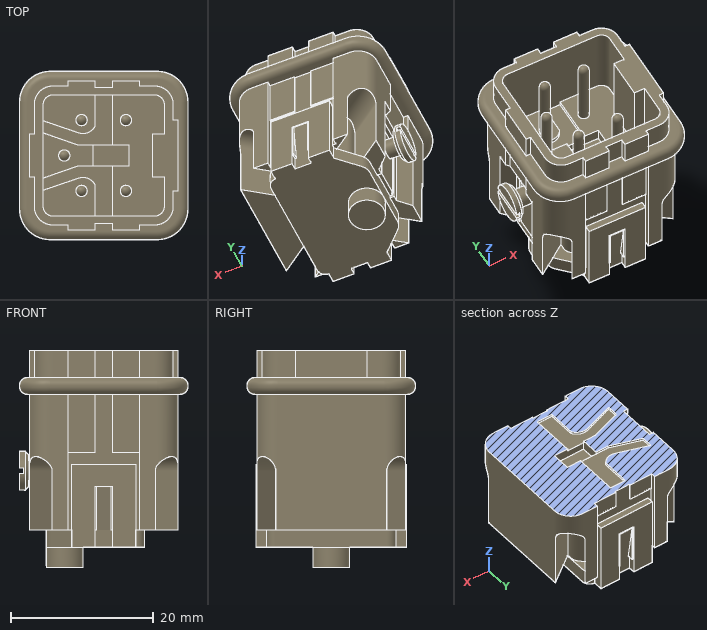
import cadquery as cq

height = 30.5
plate_bottom = 2.85
body_bottom = 5.25
floor_z = 19.15
ring_bottom = 24.3
ring_top = 26.72

ring_side = 23.7
ring_corner = 4.35
ring_round = 1.13

body_side = 20.92
body_corner = 2.87
shell_side = 19.52
shell_corner = 2.6
cavity_side = 17.02
cavity_corner = 1.37
body_half = body_side / 2
shell_half = shell_side / 2
cavity_half = cavity_side / 2

recess_half = 5.03
recess_floor = 9.58
channel_half = 1.25
step_z = 16.15
panel_half = 4.5
panel_face = 10.58
panel_top = 14.45
panel_slot_top = 11.4
panel_slot_depth = 0.12
ramp_half = 1.05
ramp_top = 11.22
ramp_depth = panel_face - recess_floor

left_tab_half = 3.0
right_tab_half = 5.0
inner_tab_half = 3.0
inner_tab_depth = 1.65

window_half = 4.73
window_top = 18.12
window_depth = 1.75
window_head_depth = 1.22
groove_half = 2.17
clamp_half = 1.85
clamp_bottom = 5.67
clamp_frame_x = -8.45
clamp_face_x = -8.65

screw_z = 13.6
screw_head_diameter = 5.5
screw_shaft_diameter = 2.75
screw_rim = 0.82
screw_cone = 0.52
screw_slot_width = 0.73
screw_slot_depth = 0.55

plate_left = -8.08
plate_right = 5.73
plate_half = 9.12
plate_chamfer = 3.63
plate_blend = 2.07
plate_right_round = 1.28
core_half_x = 5.6
core_half_y = 8.85
core_chamfer = 3.15
core_blend = 1.6
stub_diameter = 5.2
stub_x = plate_left + stub_diameter / 2

pin_diameter = 1.6
pin_tip = 29.83
pin_x = 3.1
pin_y = 4.97
ground_pin_x = -5.55

access_width = 4.03
access_top_axis = 13.57
access_angle = 36.0
access_length = 12.2

relief_depth = 0.6
relief_half = 1.25
island_side_y = 4.05
island_tip = (-1.98, 3.32)
island_tip_end = (-3.5, 3.17)
island_wall_y = 4.88
wedge_wall_y = 3.17
wedge_end_x = -3.6
key_hole_left = -1.5
key_hole_right = 3.55
key_hole_half = 1.45
key_hole_depth = 1.83


def block(x0, x1, y0, y1, z0, z1):
    """Box between two opposite corners."""
    return cq.Workplane("XY").box(x1 - x0, y1 - y0, z1 - z0, centered=False).translate((x0, y0, z0))


def rounded_square(side, corner, z0, z1):
    """Centred square prism with rounded vertical edges."""
    prism = cq.Workplane("XY").workplane(offset=z0).rect(side, side).extrude(z1 - z0)
    return prism.edges("|Z").fillet(corner)


def both_y_sides(shape):
    return shape.union(shape.mirror("XZ"))


def sealing_ring():
    ring = rounded_square(ring_side, ring_corner, ring_bottom, ring_top)
    return ring.faces("<Z or >Z").edges().fillet(ring_round)


def side_recess():
    """Stepped recess in the -Y side: deep below and along the middle, shallow beside it."""
    shallow = block(-recess_half, recess_half, -ring_side, -shell_half, body_bottom, ring_bottom)
    deep = block(-recess_half, recess_half, -ring_side, -recess_floor, body_bottom, step_z)
    middle = block(-channel_half, channel_half, -ring_side, -recess_floor, body_bottom, ring_bottom)
    return shallow.union(deep).union(middle)


def latch_panel():
    """Raised -Y panel with a slot whose floor slopes inward towards the bottom."""
    panel = block(-panel_half, panel_half, -panel_face, -plate_half, plate_bottom, panel_top)
    slot_floor = -panel_face + panel_slot_depth
    ramp_floor = -panel_face + ramp_depth
    slot = block(-channel_half, channel_half, -panel_face, slot_floor, plate_bottom, panel_slot_top)
    foot = block(-channel_half, channel_half, -panel_face, ramp_floor, plate_bottom, body_bottom)
    ramp = (
        cq.Workplane("YZ")
        .polyline([
            (-panel_face, body_bottom),
            (ramp_floor, body_bottom),
            (slot_floor, ramp_top),
            (-panel_face, ramp_top),
        ])
        .close()
        .extrude(ramp_half, both=True)
    )
    return panel.cut(slot).cut(foot).cut(ramp)


def rim_tabs():
    """Coding tabs around the shell above the sealing ring."""
    tabs = block(-body_half, -cavity_half, -left_tab_half, left_tab_half, ring_bottom, height)
    tabs = tabs.union(
        block(cavity_half, body_half, -right_tab_half, right_tab_half, ring_bottom, height)
    )
    for x0, x1 in ((-recess_half, -channel_half), (channel_half, recess_half)):
        tabs = tabs.union(
            both_y_sides(block(x0, x1, -body_half, -cavity_half, ring_bottom, height))
        )
    return tabs


def screw_window():
    """Window in the -X side with 45 degree flanks and head, plus the shallow groove above it."""
    flanks = (
        cq.Workplane("XY")
        .workplane(offset=body_bottom)
        .polyline([
            (-body_half, -window_half),
            (-body_half, window_half),
            (-body_half + window_depth, window_half - window_depth),
            (-body_half + window_depth, -window_half + window_depth),
        ])
        .close()
        .extrude(window_top - body_bottom)
    )
    head = (
        cq.Workplane("XZ")
        .polyline([
            (-body_half, body_bottom),
            (-body_half, window_top),
            (-body_half + window_head_depth, window_top - window_head_depth),
            (-body_half + window_depth, window_top - window_head_depth),
            (-body_half + window_depth, body_bottom),
        ])
        .close()
        .extrude(window_half, both=True)
    )
    window = flanks.intersect(head)
    upper_groove = block(
        -body_half, -shell_half, -left_tab_half, left_tab_half, body_bottom, ring_bottom
    )
    clamp_groove = block(
        -body_half, plate_left, -groove_half, groove_half, body_bottom, window_top - window_head_depth
    )
    return window.union(upper_groove).union(clamp_groove)


def clamp():
    """Stepped clamp strip that lies in the groove behind the screw."""
    top = window_top - window_head_depth
    frame = block(clamp_frame_x, plate_left, -groove_half, groove_half, clamp_bottom, top)
    return frame.union(
        block(clamp_face_x, plate_left, -clamp_half, clamp_half, clamp_bottom, top)
    )


def clamp_screw():
    face_x = -ring_side / 2
    head_radius = screw_head_diameter / 2
    shaft_radius = screw_shaft_diameter / 2
    cone_x = face_x + screw_rim
    profile = [
        (face_x, 0),
        (face_x, head_radius),
        (cone_x, head_radius),
        (cone_x + screw_cone, head_radius - screw_cone),
        (cone_x + screw_cone, shaft_radius),
        (plate_left, shaft_radius),
        (plate_left, 0),
    ]
    screw = cq.Workplane("XY").polyline(profile).close().revolve(360, (0, 0, 0), (1, 0, 0))
    slot = block(
        face_x, face_x + screw_slot_depth, -head_radius, head_radius,
        -screw_slot_width / 2, screw_slot_width / 2,
    )
    return screw.cut(slot).translate((0, 0, screw_z))


def lower_plate():
    plate = block(plate_left, plate_right, -plate_half, plate_half, plate_bottom, body_bottom)
    plate = plate.edges("|Z and <X").chamfer(plate_chamfer)
    plate = plate.edges("|Z and <X").fillet(plate_blend)
    return plate.edges("|Z and >X").fillet(plate_right_round)


def terminal_core():
    """Chamfered block that closes the inner end of the corner openings."""
    core = block(-core_half_x, core_half_x, -core_half_y, core_half_y, body_bottom, floor_z)
    core = core.edges("|Z").chamfer(core_chamfer)
    return core.edges("|Z and (<X or >X)").fillet(core_blend)


def terminal_access():
    """Round-topped corner openings, each aimed at one of the four outer pins."""
    opening = block(
        0, access_length, -access_width / 2, access_width / 2, body_bottom, access_top_axis
    )
    arch = (
        cq.Workplane("YZ")
        .center(0, access_top_axis)
        .circle(access_width / 2)
        .extrude(access_length)
    )
    opening = opening.union(arch).rotate((0, 0, 0), (0, 0, 1), access_angle)
    opening = both_y_sides(opening.translate((pin_x, pin_y, 0)))
    return opening.union(opening.mirror("YZ")).cut(terminal_core())


def contact_pin(x, y):
    radius = pin_diameter / 2
    pin = cq.Workplane("XY").workplane(offset=floor_z - key_hole_depth).circle(radius)
    pin = pin.extrude(pin_tip - radius - floor_z + key_hole_depth)
    tip = cq.Workplane("XY").sphere(radius).translate((0, 0, pin_tip - radius))
    return pin.union(tip).translate((x, y, 0))


def floor_relief():
    """Recessed channels in the cavity floor and the rectangular hole where they meet."""
    channel_z = floor_z - relief_depth
    branch = (
        cq.Workplane("XY")
        .workplane(offset=channel_z)
        .moveTo(relief_half, key_hole_half)
        .lineTo(relief_half, cavity_half)
        .lineTo(-relief_half, cavity_half)
        .lineTo(-relief_half, island_side_y)
        .threePointArc(island_tip, island_tip_end)
        .lineTo(-cavity_half, island_wall_y)
        .lineTo(-cavity_half, wedge_wall_y)
        .lineTo(wedge_end_x, key_hole_half)
        .close()
        .extrude(relief_depth)
    )
    hole = block(
        key_hole_left, key_hole_right, -key_hole_half, key_hole_half, floor_z - key_hole_depth, floor_z
    )
    return both_y_sides(branch).union(hole)


housing = rounded_square(body_side, body_corner, body_bottom, ring_top)
housing = housing.cut(both_y_sides(side_recess()))
housing = housing.cut(screw_window())
housing = housing.cut(terminal_access())

rim = rounded_square(shell_side, shell_corner, ring_bottom, height)
rim = rim.union(rim_tabs())
centre_notch = block(-channel_half, channel_half, -ring_side, -recess_floor, ring_top, height)
rim = rim.cut(both_y_sides(centre_notch))
result = housing.union(sealing_ring()).union(rim)

cavity = rounded_square(cavity_side, cavity_corner, floor_z, height)
cavity = cavity.cut(
    block(cavity_half - inner_tab_depth, cavity_half, -inner_tab_half, inner_tab_half, floor_z, height)
)
result = result.cut(cavity).cut(floor_relief())

result = result.union(both_y_sides(latch_panel()))
result = result.union(lower_plate())
result = result.union(clamp())
result = result.union(clamp_screw())
stub = cq.Workplane("XY").center(stub_x, 0).circle(stub_diameter / 2).extrude(plate_bottom)
result = result.union(stub)

pin_places = [(x, y) for x in (-pin_x, pin_x) for y in (-pin_y, pin_y)]
pin_places.append((ground_pin_x, 0))
for x, y in pin_places:
    result = result.union(contact_pin(x, y))